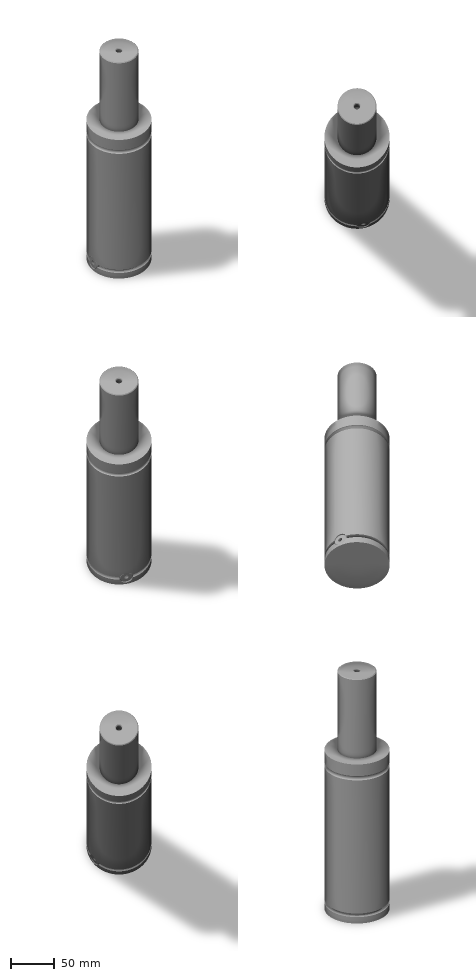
import cadquery as cq
import math

total_height = 310.0
body_height = 207.0
body_diameter = 75.0
rod_diameter = 45.0
rod_chamfer = 1.0

collar_groove_radius = 2.8
collar_groove_z = 189.0

base_groove_diameter = 66.0
base_groove_bottom = 8.5
base_groove_width = 4.5

rod_hole_diameter = 6.8
rod_hole_depth = 12.5
rod_hole_chamfer = 1.0
drill_tip_angle = 118.0

port_z = 10.5
port_pocket_diameter = 16.0
port_face_diameter = 14.0
port_face_offset = 36.5
port_chamfer = (port_pocket_diameter - port_face_diameter) / 2
port_hole_diameter = 5.3
port_hole_depth = 6.2
port_plug_length = 12.5

body_radius = body_diameter / 2


def make_body():
    """Cylinder body with its two grooves, revolved about Z."""
    groove_radius = base_groove_diameter / 2
    groove_top = base_groove_bottom + base_groove_width
    profile = (
        cq.Workplane("XZ")
        .lineTo(body_radius, 0)
        .lineTo(body_radius, base_groove_bottom)
        .lineTo(groove_radius, base_groove_bottom)
        .lineTo(groove_radius, groove_top)
        .lineTo(body_radius, groove_top)
        .lineTo(body_radius, collar_groove_z - collar_groove_radius)
        .threePointArc(
            (body_radius - collar_groove_radius, collar_groove_z),
            (body_radius, collar_groove_z + collar_groove_radius),
        )
        .lineTo(body_radius, body_height)
        .lineTo(0, body_height)
        .close()
    )
    return profile.revolve(360, (0, 0, 0), (0, 1, 0))


def make_rod():
    """Piston rod with a chamfered end, starting on top of the body."""
    rod = cq.Workplane("XY").workplane(offset=body_height)
    rod = rod.circle(rod_diameter / 2).extrude(total_height - body_height)
    return rod.faces(">Z").edges().chamfer(rod_chamfer)


def make_rod_hole():
    """Countersunk blind hole with a conical drill tip."""
    radius = rod_hole_diameter / 2
    floor_z = total_height - rod_hole_depth
    tip_depth = radius / math.tan(math.radians(drill_tip_angle / 2))
    return (
        cq.Workplane("XZ")
        .moveTo(0, floor_z - tip_depth)
        .lineTo(radius, floor_z)
        .lineTo(radius, total_height - rod_hole_chamfer)
        .lineTo(radius + rod_hole_chamfer, total_height)
        .lineTo(0, total_height)
        .close()
        .revolve(360, (0, 0, 0), (0, 1, 0))
    )


def port_cylinder(diameter, start, length):
    """Cylinder along the port axis, running inward from a distance outside the Z axis."""
    plane = cq.Plane(origin=(0, -start, port_z), xDir=(1, 0, 0), normal=(0, 1, 0))
    return cq.Workplane(plane).circle(diameter / 2).extrude(length)


def add_port(part):
    """Sink a chamfered plug with a central hole into the side of the body."""
    pocket_depth = body_radius - port_face_offset + port_chamfer
    pocket = port_cylinder(port_pocket_diameter, body_radius, pocket_depth)
    plug = port_cylinder(port_pocket_diameter, port_face_offset, port_plug_length)
    plug = plug.faces("<Y").edges().chamfer(port_chamfer)
    hole = port_cylinder(port_hole_diameter, port_face_offset, port_hole_depth)
    return part.cut(pocket).union(plug).cut(hole)


result = add_port(make_body().union(make_rod()).cut(make_rod_hole()))